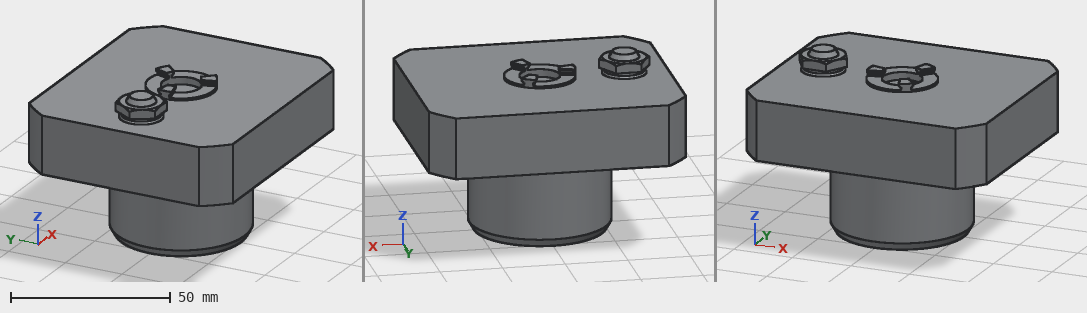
import cadquery as cq
import math

plate_length = 82.0
plate_width = 72.0
plate_thickness = 20.0
corner_arc_diameter = 99.05

shank_diameter = 45.0
neck_diameter = 44.4
neck_height = 1.3
shank_length = 28.8
shank_chamfer_height = 2.6
shank_chamfer_angle = 30.0

ring_diameter = 22.5
ring_height = 0.65
pocket_diameter = 12.8
pocket_depth = 1.9
jaw_count = 3
jaw_half_angle = 12.3
jaw_waist_height = 1.2
jaw_lip_height = 2.2
jaw_top_height = 2.7
jaw_waist_inset = 0.9
jaw_foot_inset = 0.65

nut_x = -27.0
nut_sides = 6
washer_diameter = 14.0
collar_diameter = 12.6
washer_height = 0.7
nut_bottom_height = 2.0
nut_top_height = 5.1
nut_across_flats = 14.0
nut_chamfer_angle = 30.0
stud_diameter = 9.5
stud_tip_diameter = 7.4
stud_height = 7.0


def cylinder(diameter, bottom, top):
    """Vertical cylinder on the Z axis between two heights."""
    return cq.Workplane("XY", origin=(0, 0, bottom)).circle(diameter / 2).extrude(top - bottom)


def revolved(profile):
    """Solid of revolution about Z from (radius, height) points."""
    return cq.Workplane("XZ").polyline(profile).close().revolve(360, (0, 0), (0, 1))


def make_plate():
    """Rectangular plate whose corners are cut by one large circle."""
    block = cq.Workplane("XY", origin=(0, 0, -plate_thickness / 2)).box(
        plate_length, plate_width, plate_thickness
    )
    return block.intersect(cylinder(corner_arc_diameter, -plate_thickness, 0))


def make_shank():
    """Shank with a slim neck at the plate and a tapered lower end."""
    bottom = -plate_thickness - shank_length
    radius = shank_diameter / 2
    end_radius = radius - shank_chamfer_height * math.tan(math.radians(shank_chamfer_angle))
    neck_bottom = -plate_thickness - neck_height
    return revolved([
        (0, bottom),
        (end_radius, bottom),
        (radius, bottom + shank_chamfer_height),
        (radius, neck_bottom),
        (neck_diameter / 2, neck_bottom),
        (neck_diameter / 2, -plate_thickness),
        (0, -plate_thickness),
    ])


def jaw_layer(bottom, top, bottom_inset, top_inset):
    """Radial wedge layer with each side set in by the given amounts."""
    inner = pocket_diameter / 2 * math.cos(math.radians(jaw_half_angle))
    outer = ring_diameter / 2
    slope = math.tan(math.radians(jaw_half_angle))

    def outline(inset):
        inner_half = inner * slope - inset
        outer_half = outer * slope - inset
        return [(inner, -inner_half), (outer, -outer_half), (outer, outer_half), (inner, inner_half)]

    return (
        cq.Workplane("XY", origin=(0, 0, bottom))
        .polyline(outline(bottom_inset)).close()
        .workplane(offset=top - bottom)
        .polyline(outline(top_inset)).close()
        .loft(ruled=True)
    )


def make_jaw():
    """Jaw with a straight lip above a V-shaped undercut on both sides."""
    foot = jaw_layer(ring_height, jaw_waist_height, jaw_foot_inset, jaw_waist_inset)
    undercut = jaw_layer(jaw_waist_height, jaw_lip_height, jaw_waist_inset, 0)
    lip = jaw_layer(jaw_lip_height, jaw_top_height, 0, 0)
    annulus = cylinder(ring_diameter, 0, jaw_top_height).cut(cylinder(pocket_diameter, 0, jaw_top_height))
    return foot.union(undercut).union(lip).intersect(annulus)


def make_nut():
    """Hexagon nut with its upper corners chamfered by a cone."""
    corner_diameter = nut_across_flats / math.cos(math.pi / nut_sides)
    corner_radius = corner_diameter / 2
    flat_radius = nut_across_flats / 2
    drop = (corner_radius - flat_radius) * math.tan(math.radians(nut_chamfer_angle))
    hexagon = (
        cq.Workplane("XY", origin=(0, 0, nut_bottom_height))
        .polygon(nut_sides, corner_diameter)
        .extrude(nut_top_height - nut_bottom_height)
    )
    envelope = revolved([
        (0, nut_bottom_height),
        (corner_radius, nut_bottom_height),
        (corner_radius, nut_top_height - drop),
        (flat_radius, nut_top_height),
        (0, nut_top_height),
    ])
    return hexagon.intersect(envelope)


def make_fastener():
    """Flared washer, nut and tapered stud tip stacked on one axis."""
    washer = revolved([
        (0, 0),
        (washer_diameter / 2, 0),
        (collar_diameter / 2, washer_height),
        (collar_diameter / 2, nut_bottom_height),
        (0, nut_bottom_height),
    ])
    stud_tip = revolved([
        (0, nut_top_height),
        (stud_diameter / 2, nut_top_height),
        (stud_tip_diameter / 2, stud_height),
        (0, stud_height),
    ])
    return washer.union(make_nut()).union(stud_tip)


body = make_plate().union(make_shank()).union(cylinder(ring_diameter, 0, ring_height))
body = body.cut(cylinder(pocket_diameter, -pocket_depth, ring_height))
jaw = make_jaw()
for index in range(jaw_count):
    angle = 180 + index * 360 / jaw_count
    body = body.union(jaw.rotate((0, 0, 0), (0, 0, 1), angle))
result = body.union(make_fastener().translate((nut_x, 0, 0)))